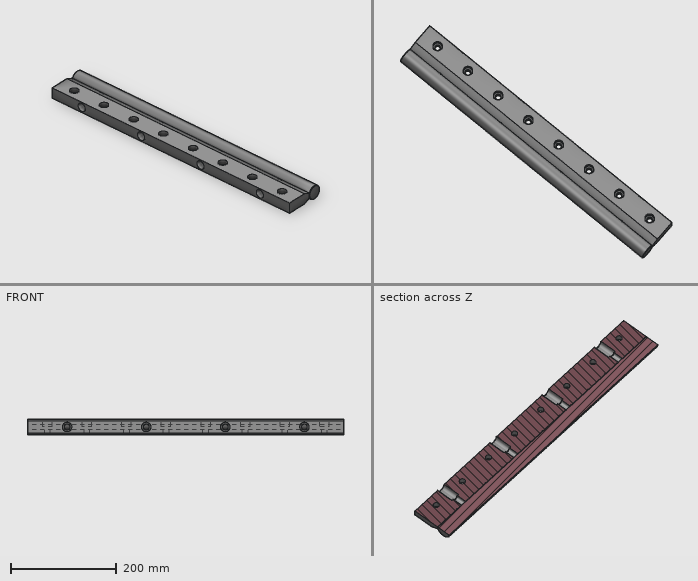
import cadquery as cq
import math

length = 600.0
shaft_diameter = 30.0
overall_width = 87.0
shaft_radius = shaft_diameter / 2
shaft_end_chamfer = 1.0
shaft_y = overall_width - shaft_radius

bar_height = 23.5
bar_flat_width = 42.5
seat_height = 10.0

mount_count = 8
mount_pitch = length / mount_count
mount_y = bar_flat_width / 2
screw_count = 4
screw_pitch = length / screw_count
hole_diameter = 11.0
counterbore_diameter = 18.0
mount_counterbore_depth = 11.0
screw_counterbore_depth = 36.0


def centred_positions(count, pitch):
    """Evenly spaced X positions, centred on the length of the rail."""
    return [(i + 0.5) * pitch for i in range(count)]


def make_shaft():
    """Round shaft with both ends chamfered."""
    shaft = cq.Workplane("YZ").center(shaft_y, 0).circle(shaft_radius).extrude(length)
    return shaft.faces("<X or >X").chamfer(shaft_end_chamfer)


def make_bar_blank():
    """Flat bar tapering to a concave seat that fits the shaft."""
    half_height = bar_height / 2
    half_seat = seat_height / 2
    seat_edge_y = shaft_y - math.sqrt(shaft_radius**2 - half_seat**2)
    seat_middle_y = shaft_y - shaft_radius
    return (
        cq.Workplane("YZ")
        .moveTo(0, -half_height)
        .lineTo(bar_flat_width, -half_height)
        .lineTo(seat_edge_y, -half_seat)
        .threePointArc((seat_middle_y, 0), (seat_edge_y, half_seat))
        .lineTo(bar_flat_width, half_height)
        .lineTo(0, half_height)
        .close()
        .extrude(length)
    )


def counterbored_cutter(start, direction, through_depth, counterbore_depth):
    """Tool for one counterbored hole starting at a face and running along direction."""
    hole = cq.Solid.makeCylinder(hole_diameter / 2, through_depth, start, direction)
    counterbore = cq.Solid.makeCylinder(counterbore_diameter / 2, counterbore_depth, start, direction)
    return hole.fuse(counterbore)


def make_support():
    """Support bar with its mounting holes and shaft screw holes."""
    support = make_bar_blank()
    for x in centred_positions(mount_count, mount_pitch):
        start = cq.Vector(x, mount_y, bar_height / 2)
        down = cq.Vector(0, 0, -1)
        support = support.cut(counterbored_cutter(start, down, bar_height, mount_counterbore_depth))
    for x in centred_positions(screw_count, screw_pitch):
        start = cq.Vector(x, 0, 0)
        inward = cq.Vector(0, 1, 0)
        support = support.cut(counterbored_cutter(start, inward, shaft_y, screw_counterbore_depth))
    return support


shaft = make_shaft()
support = make_support()
result = cq.Compound.makeCompound([shaft.val(), support.val()])